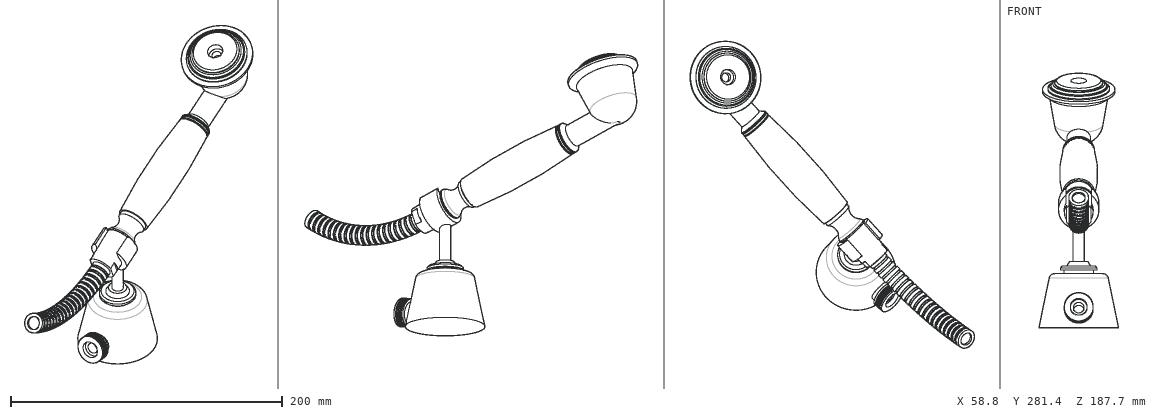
import cadquery as cq
import math

HANDSET_TILT = 20.0
HEAD_CENTRE_Y = 147.0
HEAD_CENTRE_Z = 144.5

BASE_DIAMETER = 58.8
BASE_RADIUS = BASE_DIAMETER / 2
BASE_HEIGHT = 40.0
BASE_TAPER = 11.7
BASE_EDGE_FILLET = 4.2
BASE_COLLAR_RADIUS = 11.0
BASE_COLLAR_TOP = 42.5
FLANGE_RADIUS = 13.5
FLANGE_RIM_TOP = 44.2
FLANGE_TOP = 45.5
DOME_RADIUS = 8.7
DOME_TOP_RADIUS = 6.8
DOME_TOP = 49.0
STEM_RADIUS = 4.2

OUTLET_FACE_Y = -37.5
OUTLET_FACE_Z = 15.5
OUTLET_RADIUS = 10.7
OUTLET_THICKNESS = 8.0
OUTLET_NECK_RADIUS = 8.5
OUTLET_NECK_LENGTH = 12.7
OUTLET_GROOVES = 3
OUTLET_GROOVE_WIDTH = 0.8
OUTLET_GROOVE_DEPTH = 0.8
OUTLET_BORE_RADIUS = 6.2
OUTLET_BORE_DEPTH = 3.5
OUTLET_HOLE_RADIUS = 4.0
OUTLET_HOLE_DEPTH = 14.0

HEAD_BOTTOM = -8.5
BOWL_TOP = 6.0
BOWL_RADIUS = 18.0
CUP_TOP = 27.5
CUP_TOP_RADIUS = 21.7
RIM_BOTTOM = 31.2
RIM_TOP = 33.2
RIM_RADIUS = 26.7
STEP_HEIGHT = 2.3
STEP_RADII = (22.8, 20.5, 17.7)
STEP_CHAMFER = 1.5
SPRAY_BORE_RADIUS = 5.5
SPRAY_BORE_DEPTH = 5.5
SPRAY_HOLE_RADIUS = 3.5
SPRAY_HOLE_DEPTH = 11.3

NECK_RADIUS = 8.7
FERRULE_START = 39.5
GRIP_START = 45.5
GRIP_END = 133.7
GRIP_END_RADIUS = 11.8
GRIP_MIDDLE_RADIUS = 14.0
FERRULE_GROOVE_WIDTH = 0.7
FERRULE_GROOVE_DEPTH = 0.7
SHOULDER_END = 136.5
SHOULDER_RADIUS = 10.7
WAIST = 142.7
WAIST_RADIUS = 8.0
FLARE_END = 149.2
FLARE_RADIUS = 10.7
BARREL_START = 151.2
BARREL_LIP_RADIUS = 11.8
BARREL_LIP_END = 152.3
BARREL_RADIUS = 11.3
BARREL_END = 179.5
BARREL_END_RADIUS = 10.5
FLAT_START = 174.3
FLAT_WIDTH = 18.0

CLIP_START = 153.0
CLIP_END = 169.0
CLIP_RADIUS = 15.0
CLIP_SLOT_WIDTH = 18.5

HOSE_RADIUS = 7.3
HOSE_GROOVE_DEPTH = 0.8
HOSE_BORE_RADIUS = 4.8
HOSE_BORE_SWEEP = 1.0
HOSE_BEND_RADIUS = 100.5
HOSE_SWEEP = 55.8
HOSE_RIBS = 21
RIB_FRACTION = 0.65


def disc(radius, start, length):
    """Cylinder on the handle axis, reaching from start towards the hose."""
    return cq.Workplane("XZ", origin=(0, -start, 0)).circle(radius).extrude(length)


def make_base():
    top_radius = BASE_RADIUS - BASE_HEIGHT * math.tan(math.radians(BASE_TAPER))
    body = (
        cq.Workplane("XZ")
        .polyline([(0, 0), (BASE_RADIUS, 0), (top_radius, BASE_HEIGHT), (0, BASE_HEIGHT)])
        .close()
        .revolve(360, (0, 0), (0, 1))
        .faces(">Z").edges().fillet(BASE_EDGE_FILLET)
    )
    cap = (
        cq.Workplane("XZ")
        .moveTo(0, BASE_HEIGHT)
        .lineTo(BASE_COLLAR_RADIUS, BASE_HEIGHT)
        .lineTo(BASE_COLLAR_RADIUS, BASE_COLLAR_TOP)
        .lineTo(FLANGE_RADIUS, BASE_COLLAR_TOP)
        .lineTo(FLANGE_RADIUS, FLANGE_RIM_TOP)
        .lineTo(FLANGE_RADIUS - (FLANGE_TOP - FLANGE_RIM_TOP), FLANGE_TOP)
        .lineTo(DOME_RADIUS, FLANGE_TOP)
        .lineTo(DOME_TOP_RADIUS, DOME_TOP)
        .lineTo(0, DOME_TOP)
        .close()
        .revolve(360, (0, 0), (0, 1))
    )
    stem_top = HEAD_CENTRE_Z - HEAD_CENTRE_Y * math.tan(math.radians(HANDSET_TILT))
    stem = cq.Workplane("XY").circle(STEM_RADIUS).extrude(stem_top)
    return body.union(cap).union(stem)


def add_outlet(base):
    tilt = math.radians(BASE_TAPER)
    face = cq.Plane(
        origin=(0, OUTLET_FACE_Y, OUTLET_FACE_Z),
        xDir=(1, 0, 0),
        normal=(0, -math.cos(tilt), math.sin(tilt)),
    )
    outlet = cq.Workplane(face).circle(OUTLET_RADIUS).extrude(-OUTLET_THICKNESS)
    pitch = OUTLET_THICKNESS / (OUTLET_GROOVES + 1)
    for index in range(OUTLET_GROOVES):
        groove = (
            cq.Workplane(face)
            .workplane(offset=-(index + 1) * pitch - OUTLET_GROOVE_WIDTH / 2)
            .circle(OUTLET_RADIUS)
            .circle(OUTLET_RADIUS - OUTLET_GROOVE_DEPTH)
            .extrude(OUTLET_GROOVE_WIDTH)
        )
        outlet = outlet.cut(groove)
    neck = cq.Workplane(face).circle(OUTLET_NECK_RADIUS).extrude(-OUTLET_NECK_LENGTH)
    bore = cq.Workplane(face).circle(OUTLET_BORE_RADIUS).extrude(-OUTLET_BORE_DEPTH)
    hole = cq.Workplane(face).circle(OUTLET_HOLE_RADIUS).extrude(-OUTLET_HOLE_DEPTH)
    return base.union(outlet).union(neck).cut(bore).cut(hole)


def make_head():
    middle_angle = math.radians(45)
    bowl_height = BOWL_TOP - HEAD_BOTTOM
    arc_middle = (
        BOWL_RADIUS * math.cos(middle_angle),
        BOWL_TOP - bowl_height * math.sin(middle_angle),
    )
    head = (
        cq.Workplane("XZ")
        .moveTo(0, HEAD_BOTTOM)
        .threePointArc(arc_middle, (BOWL_RADIUS, BOWL_TOP))
        .lineTo(CUP_TOP_RADIUS, CUP_TOP)
        .lineTo(RIM_RADIUS, RIM_BOTTOM)
        .lineTo(RIM_RADIUS, RIM_TOP)
        .lineTo(0, RIM_TOP)
        .close()
        .revolve(360, (0, 0), (0, 1))
    )
    for index, radius in enumerate(STEP_RADII):
        step = (
            cq.Workplane("XY", origin=(0, 0, RIM_TOP + index * STEP_HEIGHT))
            .circle(radius)
            .extrude(STEP_HEIGHT)
            .faces(">Z").chamfer(STEP_CHAMFER)
        )
        head = head.union(step)
    return head


def cut_spray_hole(head):
    face_height = RIM_TOP + len(STEP_RADII) * STEP_HEIGHT
    face = cq.Workplane("XY", origin=(0, 0, face_height))
    bore = face.circle(SPRAY_BORE_RADIUS).extrude(-SPRAY_BORE_DEPTH)
    hole = face.circle(SPRAY_HOLE_RADIUS).extrude(-SPRAY_HOLE_DEPTH)
    return head.cut(bore).cut(hole)


def make_handle():
    grip_middle = (GRIP_START + GRIP_END) / 2
    ferrule_corner = GRIP_END_RADIUS - NECK_RADIUS
    handle = (
        cq.Workplane("XY")
        .moveTo(0, 0)
        .lineTo(NECK_RADIUS, 0)
        .lineTo(NECK_RADIUS, -FERRULE_START)
        .lineTo(GRIP_END_RADIUS, -FERRULE_START - ferrule_corner)
        .lineTo(GRIP_END_RADIUS, -GRIP_START)
        .threePointArc((GRIP_MIDDLE_RADIUS, -grip_middle), (GRIP_END_RADIUS, -GRIP_END))
        .lineTo(SHOULDER_RADIUS, -GRIP_END)
        .lineTo(SHOULDER_RADIUS, -SHOULDER_END)
        .threePointArc((WAIST_RADIUS, -WAIST), (FLARE_RADIUS, -FLARE_END))
        .lineTo(BARREL_LIP_RADIUS, -BARREL_START)
        .lineTo(BARREL_LIP_RADIUS, -BARREL_LIP_END)
        .lineTo(BARREL_RADIUS, -BARREL_LIP_END)
        .lineTo(BARREL_END_RADIUS, -BARREL_END)
        .lineTo(0, -BARREL_END)
        .close()
        .revolve(360, (0, 0), (0, 1))
    )
    core_radius = GRIP_END_RADIUS - FERRULE_GROOVE_DEPTH
    groove_positions = (FERRULE_START + ferrule_corner + FERRULE_GROOVE_WIDTH, GRIP_START)
    for position in groove_positions:
        ring = disc(GRIP_MIDDLE_RADIUS, position, FERRULE_GROOVE_WIDTH)
        core = disc(core_radius, position, FERRULE_GROOVE_WIDTH)
        handle = handle.cut(ring.cut(core))
    end_length = BARREL_END - FLAT_START
    end_middle = (BARREL_END + FLAT_START) / 2
    for side in (-1, 1):
        waste = cq.Workplane("XY").box(BARREL_RADIUS, end_length, 2 * BARREL_RADIUS)
        offset = side * (FLAT_WIDTH + BARREL_RADIUS) / 2
        handle = handle.cut(waste.translate((offset, -end_middle, 0)))
    return handle


def make_clip():
    length = CLIP_END - CLIP_START
    slot = (
        cq.Workplane("XY")
        .box(CLIP_SLOT_WIDTH, length, CLIP_RADIUS, centered=(True, True, False))
        .translate((0, -(CLIP_START + CLIP_END) / 2, 0))
    )
    return disc(CLIP_RADIUS, CLIP_START, length).cut(slot)


def hose_section(outer_radius, start_angle, sweep):
    """Stretch of the bent hose, given by its angles along the bend."""
    profile = cq.Workplane("XZ", origin=(0, -BARREL_END, 0)).circle(outer_radius)
    section = profile.revolve(sweep, (0, HOSE_BEND_RADIUS), (-1, HOSE_BEND_RADIUS))
    bend_axis_start = (0, -BARREL_END, HOSE_BEND_RADIUS)
    bend_axis_end = (-1, -BARREL_END, HOSE_BEND_RADIUS)
    return section.rotate(bend_axis_start, bend_axis_end, start_angle)


def make_hose():
    root_radius = HOSE_RADIUS - HOSE_GROOVE_DEPTH
    hose = hose_section(root_radius, 0, HOSE_SWEEP)
    pitch = HOSE_SWEEP / (HOSE_RIBS - 1 + RIB_FRACTION)
    for index in range(HOSE_RIBS):
        rib = hose_section(HOSE_RADIUS, index * pitch, pitch * RIB_FRACTION)
        hose = hose.union(rib)
    bore = hose_section(HOSE_BORE_RADIUS, HOSE_SWEEP - HOSE_BORE_SWEEP, HOSE_BORE_SWEEP)
    return hose.cut(bore)


def make_handset():
    head = make_head()
    handset = head.union(make_handle()).union(make_clip()).union(make_hose())
    handset = cut_spray_hole(handset)
    handset = handset.rotate((0, 0, 0), (1, 0, 0), HANDSET_TILT)
    return handset.translate((0, HEAD_CENTRE_Y, HEAD_CENTRE_Z))


result = add_outlet(make_base()).union(make_handset())